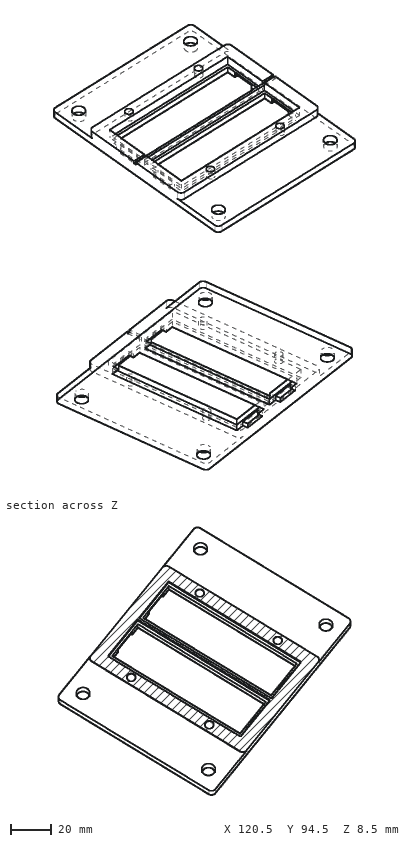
import cadquery as cq

plate_length = 120.5
plate_width = 94.5
plate_thickness = 4.1
total_height = 8.5
frame_length = 66.5
corner_radius = 2.4

mount_diameter = 6.7
mount_spacing_x = 101.2
mount_spacing_y = 75.9
screw_diameter = 4.2
screw_spacing_x = 59.0
screw_spacing_y = 47.2
screw_depth = total_height - plate_thickness

bar_width = 1.5
groove_depth = 1.5
recess_length = 25.3
recess_width = 80.0
window_length = 22.2
window_width = 77.3
ledge_height = 3.5
window_offset = (bar_width + recess_length) / 2

notch_length = 12.0
notch_depth = 2.9
notch_height = 2.5


def rounded_block(length, height):
    block = cq.Workplane("XY").box(length, plate_width, height, centered=(True, True, False))
    return block.edges("|Z").fillet(corner_radius)


def cutter(length, width, bottom, top, x=0, y=0):
    block = cq.Workplane("XY").box(length, width, top - bottom, centered=(True, True, False))
    return block.translate((x, y, bottom))


def hole_pattern(spacing_x, spacing_y, diameter, bottom):
    pattern = cq.Workplane("XY").workplane(offset=bottom).rect(spacing_x, spacing_y, forConstruction=True)
    return pattern.vertices().circle(diameter / 2).extrude(total_height - bottom)


result = rounded_block(plate_length, plate_thickness).union(rounded_block(frame_length, total_height))

result = result.cut(hole_pattern(mount_spacing_x, mount_spacing_y, mount_diameter, 0))
result = result.cut(hole_pattern(screw_spacing_x, screw_spacing_y, screw_diameter, total_height - screw_depth))

result = result.cut(cutter(bar_width, plate_width, total_height - groove_depth, total_height))

for side in (-1, 1):
    center_x = side * window_offset
    result = result.cut(cutter(recess_length, recess_width, ledge_height, total_height, center_x))
    result = result.cut(cutter(window_length, window_width, 0, ledge_height, center_x))
    result = result.cut(cutter(notch_length, window_width + 2 * notch_depth, 0, notch_height, center_x))